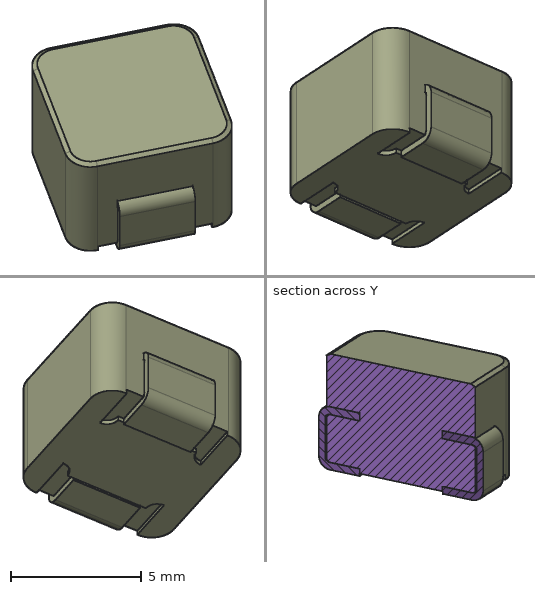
import cadquery as cq
import math

case_width = 6.6
case_corner_radius = 1.0
overall_height = 4.8
bevel_inset = 0.2
bevel_drop = 0.1

overall_length = 7.3
strip_width = 3.0
strip_thickness = 0.3
strip_height = 2.6
bend_radius = 0.505
leg_length = 1.8

standoff = 0.1
recess_width = 4.525
notch_radius = 0.505

case_end = case_width / 2
terminal_end = overall_length / 2
leg_tip = terminal_end - leg_length
recess_depth = strip_thickness - standoff


def make_case_block():
    """Rounded square block standing above the seating plane."""
    block = (
        cq.Workplane("XY", origin=(0, 0, standoff))
        .rect(case_width, case_width)
        .extrude(overall_height - standoff)
        .edges("|Z")
        .fillet(case_corner_radius)
    )
    top_edges = block.faces(">Z").edges().vals()
    bevelled = block.val().chamfer(bevel_drop, bevel_inset, top_edges)
    return cq.Workplane(obj=bevelled)


def make_recess(side):
    """Volume cut under one end; its inner corners reach further in as quarter-round notches."""
    half_width = recess_width / 2
    notch_start = half_width - notch_radius
    notch_end = leg_tip - notch_radius
    arc_step = notch_radius * math.sqrt(0.5)
    arc_mid_x = leg_tip - arc_step
    arc_mid_y = half_width - arc_step
    return (
        cq.Workplane("XY", origin=(0, 0, standoff))
        .moveTo(side * case_end, half_width)
        .lineTo(side * notch_end, half_width)
        .threePointArc((side * arc_mid_x, arc_mid_y), (side * leg_tip, notch_start))
        .lineTo(side * leg_tip, -notch_start)
        .threePointArc((side * arc_mid_x, -arc_mid_y), (side * notch_end, -half_width))
        .lineTo(side * case_end, -half_width)
        .close()
        .extrude(recess_depth)
    )


def make_terminal(side):
    """C-shaped strip: foot below, upright outside, and upper leg embedded in the case."""
    inner_length = leg_length - strip_thickness
    centre_z = strip_height / 2
    outer = (
        cq.Workplane("XY", origin=(side * (leg_tip + leg_length / 2), 0, centre_z))
        .box(leg_length, strip_width, strip_height)
    )
    inner = (
        cq.Workplane("XY", origin=(side * (leg_tip + inner_length / 2), 0, centre_z))
        .box(inner_length, strip_width, strip_height - 2 * strip_thickness)
    )
    outward = ">X" if side > 0 else "<X"
    outer = outer.faces(outward).edges("|Y").fillet(bend_radius)
    inner = inner.faces(outward).edges("|Y").fillet(bend_radius - strip_thickness)
    return outer.cut(inner).solids()


terminals = []
case = make_case_block()
for side in (-1, 1):
    terminal = make_terminal(side)
    terminals.append(terminal.val())
    case = case.cut(make_recess(side)).cut(terminal)

result = cq.Compound.makeCompound([case.solids().val(), *terminals])